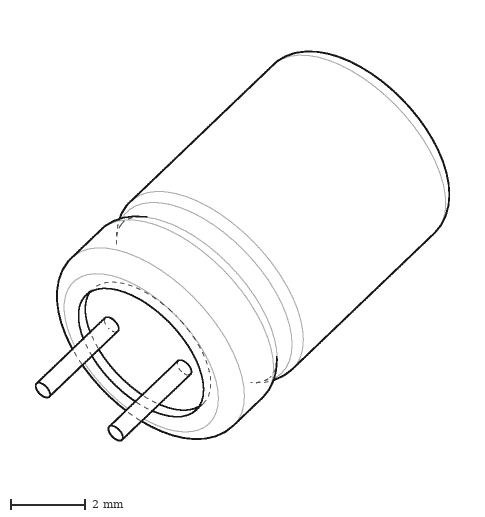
import cadquery as cq

total_length = 12.51
can_diameter = 6.3
lead_length = 2.7
rim_radius = 0.5
groove_center = 5.13
groove_width = 1.3
groove_depth = 0.26
recess_diameter = 4.3
recess_depth = 0.3
lead_diameter = 0.5
lead_spacing = 2.5
lead_embedding = 0.13

can_radius = can_diameter / 2
can_length = total_length - lead_length


def along_y(start, diameter, length, x=0.0):
    """Solid cylinder running in +Y from Y = start."""
    base = cq.Workplane(cq.Plane(origin=(x, start, 0), xDir=(1, 0, 0), normal=(0, 1, 0)))
    return base.circle(diameter / 2).extrude(length)


def groove_cutter():
    """Ring with a smooth bead profile: two crest arcs tangent to a valley arc."""
    quarter_width = groove_width / 4
    half_depth = groove_depth / 2
    arc_radius = (quarter_width**2 + half_depth**2) / groove_depth
    valley_radius = can_radius - groove_depth
    middle_radius = can_radius - half_depth
    front = groove_center - groove_width / 2
    back = groove_center + groove_width / 2
    clearance = 0.13
    return (
        cq.Workplane("XY")
        .moveTo(can_radius + clearance, front)
        .lineTo(can_radius, front)
        .radiusArc((middle_radius, groove_center - quarter_width), -arc_radius)
        .threePointArc((valley_radius, groove_center), (middle_radius, groove_center + quarter_width))
        .radiusArc((can_radius, back), -arc_radius)
        .lineTo(can_radius + clearance, back)
        .close()
        .revolve(360, (0, 0, 0), (0, 1, 0))
    )


can = along_y(lead_length, can_diameter, can_length).edges("%CIRCLE").fillet(rim_radius)
can = can.cut(groove_cutter())
can = can.cut(along_y(lead_length, recess_diameter, recess_depth))

embedded_lead_length = lead_length + recess_depth + lead_embedding
result = can
for side in (-1, 1):
    lead = along_y(0, lead_diameter, embedded_lead_length, side * lead_spacing / 2)
    result = result.union(lead)